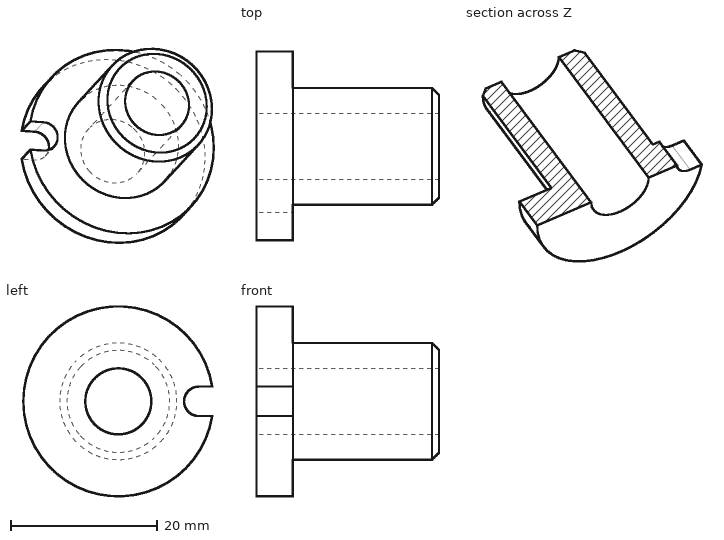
import cadquery as cq

flange_diameter = 26.0
flange_thickness = 5.0

shank_diameter = 16.0
overall_length = 25.0
shank_length = overall_length - flange_thickness
shank_end_chamfer = 1.0

bore_diameter = 9.0

slot_width = 4.0
slot_bottom_radius = 9.0


def make_flange():
    return cq.Workplane("YZ").circle(flange_diameter / 2).extrude(flange_thickness)


def make_shank():
    shank = (
        cq.Workplane("YZ")
        .workplane(offset=flange_thickness)
        .circle(shank_diameter / 2)
        .extrude(shank_length)
    )
    return shank.faces(">X").edges().chamfer(shank_end_chamfer)


def make_bore():
    return cq.Workplane("YZ").circle(bore_diameter / 2).extrude(overall_length)


def make_slot():
    half_width = slot_width / 2
    arc_center_y = -(slot_bottom_radius + half_width)
    open_end_y = -flange_diameter / 2
    return (
        cq.Workplane("YZ")
        .moveTo(open_end_y, -half_width)
        .lineTo(arc_center_y, -half_width)
        .threePointArc((-slot_bottom_radius, 0), (arc_center_y, half_width))
        .lineTo(open_end_y, half_width)
        .close()
        .extrude(flange_thickness)
    )


result = make_flange().union(make_shank()).cut(make_bore()).cut(make_slot())